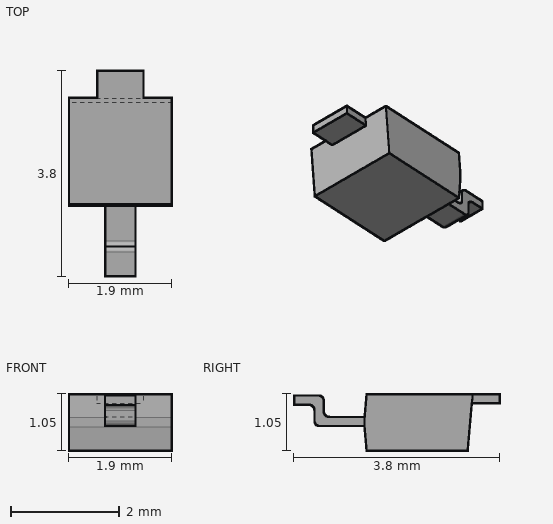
import cadquery as cq
import math

BODY_WIDTH = 1.9
BODY_LENGTH = 2.0
BODY_HEIGHT = 1.05
DRAFT_ANGLE = 5.0
BAND_HEIGHT = 0.175

TAB_WIDTH = 0.86
TAB_REACH = 0.5
SHEET_THICKNESS = 0.175

LEAD_WIDTH = 0.56
LEAD_REACH = 1.3
LEAD_FOOT_LENGTH = 0.55
LEAD_TOP_GAP = 0.025
LEAD_STEP = 0.395
BEND_RADIUS = 0.1

EMBED = 0.3


def extrude_across(profile, width):
    """Extrude a closed YZ outline along X, centred on the X = 0 plane."""
    return profile.extrude(width / 2, both=True)


def make_body():
    slope = math.tan(math.radians(DRAFT_ANGLE))
    band_bottom = (BODY_HEIGHT - BAND_HEIGHT) / 2
    band_top = band_bottom + BAND_HEIGHT
    front_setback = band_bottom * slope
    back_setback = BODY_HEIGHT * slope
    outline = (
        cq.Workplane("YZ")
        .moveTo(front_setback, 0)
        .lineTo(BODY_LENGTH - back_setback, 0)
        .lineTo(BODY_LENGTH, BODY_HEIGHT)
        .lineTo(front_setback, BODY_HEIGHT)
        .lineTo(0, band_top)
        .lineTo(0, band_bottom)
        .close()
    )
    return extrude_across(outline, BODY_WIDTH)


def make_tab():
    return cq.Workplane("XY").box(
        TAB_WIDTH, TAB_REACH + EMBED, SHEET_THICKNESS, centered=(True, False, False)
    ).translate((0, BODY_LENGTH - EMBED, BODY_HEIGHT - SHEET_THICKNESS))


def make_lead():
    """Z-shaped strip: out of the body, up, then out again to a raised foot."""
    tip = -LEAD_REACH
    riser_back = tip + LEAD_FOOT_LENGTH
    riser_front = riser_back - SHEET_THICKNESS
    foot_top = BODY_HEIGHT - LEAD_TOP_GAP
    foot_bottom = foot_top - SHEET_THICKNESS
    arm_top = foot_top - LEAD_STEP
    arm_bottom = arm_top - SHEET_THICKNESS
    outline = (
        cq.Workplane("YZ")
        .moveTo(EMBED, arm_bottom)
        .lineTo(EMBED, arm_top)
        .lineTo(riser_back, arm_top)
        .lineTo(riser_back, foot_top)
        .lineTo(tip, foot_top)
        .lineTo(tip, foot_bottom)
        .lineTo(riser_front, foot_bottom)
        .lineTo(riser_front, arm_bottom)
        .close()
    )
    strip = extrude_across(outline, LEAD_WIDTH)
    bend_zone = cq.selectors.BoxSelector(
        (-LEAD_WIDTH, riser_front - BEND_RADIUS, 0),
        (LEAD_WIDTH, riser_back + BEND_RADIUS, BODY_HEIGHT),
    )
    return strip.edges("|X").edges(bend_zone).fillet(BEND_RADIUS)


result = make_body().union(make_tab()).union(make_lead())